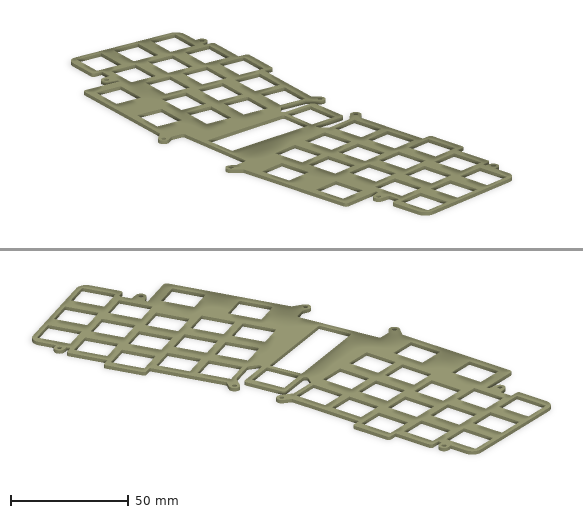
import cadquery as cq


THICKNESS = 1.6

TILT = 7.0
FIELD_X = 61.5
FIELD_Y = 35.5
COLUMN_COUNT = 5
FIELD_WIDTH = 76.2
PITCH = FIELD_WIDTH / (COLUMN_COUNT - 1)
STAGGERS = [-PITCH / 2, -PITCH / 4, 0, -PITCH / 4, -PITCH / 4]
ROWS = [-2 * PITCH, -PITCH, 0]
THUMB_V = -3.25 * PITCH
THUMB_KEYS = [(-PITCH / 8, THUMB_V), (1.5 * PITCH, THUMB_V)]
CUTOUT_U = 15.5
CUTOUT_V = 12.7

SIDE_MARGIN = 9.7
OUTER_MARGIN = 10.0
END_MARGIN = 10.0
THUMB_LEFT = -15.0
THUMB_RIGHT = 49.3
THUMB_TOP = -46.8
THUMB_BOTTOM = THUMB_V - END_MARGIN
OUTER_CORNER = 4.6
SMALL_CORNER = 1.2
THUMB_CORNER = 1.6
COLUMN_CORNERS = {
    0: [("<X", OUTER_CORNER), (">X and <Y", SMALL_CORNER)],
    1: [("<X and >Y", SMALL_CORNER)],
    2: [(">Y", SMALL_CORNER)],
}

WEB_BOTTOM = -33.8
WEB_BOTTOM_HALF = 19.5
WEB_BOTTOM_CORNER = 1.2
WEB_TOP = 31.0
WEB_TOP_HALF = 10.2
WEB_TOP_CORNER = 1.6
GAP_BOTTOM = 14.1
GAP_BOTTOM_X = 12.0
GAP_SIDE_X = 16.0
GAP_SIDE_Y = 18.0
GAP_CORNER = 1.2
WEB_SIDE_X = 27.8
WINDOW_WIDTH = 16.0
UPPER_WINDOW = (14.4, 27.5)
LOWER_WINDOW = (-31.0, 12.3)
LOWER_WINDOW_CORNER = 1.0

LUG_DIAMETER = 4.9
LUG_HOLE = 2.1
LUG_ARM = 5.5
LUGS = [
    ((-94.3, 41.7), [270]),
    ((-11.5, 36.1), [225]),
    ((-21.8, -43.8), [130, 120]),
    ((-88.0, -18.0), [90, 70]),
]


def block(left, right, bottom, top):
    """Rectangular plate given by its four sides."""
    return (
        cq.Workplane("XY")
        .center((left + right) / 2, (bottom + top) / 2)
        .rect(right - left, top - bottom)
        .extrude(THICKNESS)
    )


def round_corner(shape, x, y, radius):
    """Round the upright edge nearest to the point (x, y)."""
    nearest = cq.selectors.NearestToPointSelector((x, y, THICKNESS / 2))
    return shape.edges("|Z").edges(nearest).fillet(radius)


def place_field(shape):
    """Move a shape from the key frame to the left half of the plate."""
    return shape.rotate((0, 0, 0), (0, 0, 1), -TILT).translate((-FIELD_X, FIELD_Y, 0))


def column_u(index):
    return (index - COLUMN_COUNT // 2) * PITCH


def column_plate(index):
    u = column_u(index)
    top = ROWS[-1] + STAGGERS[index] + END_MARGIN
    bottom = ROWS[0] + STAGGERS[index] - END_MARGIN
    left_margin = OUTER_MARGIN if index == 0 else SIDE_MARGIN
    plate = block(u - left_margin, u + SIDE_MARGIN, bottom, top)
    for corner, radius in COLUMN_CORNERS.get(index, []):
        plate = plate.edges("|Z").edges(corner).fillet(radius)
    return plate


def thumb_plate():
    plate = block(THUMB_LEFT, THUMB_RIGHT, THUMB_BOTTOM, THUMB_TOP)
    return plate.edges("|Z and <X and <Y").fillet(THUMB_CORNER)


def key_field():
    field = thumb_plate()
    for index in range(COLUMN_COUNT):
        field = field.union(column_plate(index))
    return place_field(field)


def key_cutouts():
    centres = list(THUMB_KEYS)
    for index, stagger in enumerate(STAGGERS):
        centres += [(column_u(index), row + stagger) for row in ROWS]
    cutouts = cq.Workplane("XY").pushPoints(centres).rect(CUTOUT_U, CUTOUT_V).extrude(THICKNESS)
    return place_field(cutouts)


def left_web():
    """Left half of the web, with the foot of the gap beside the key field."""
    outline = [
        (0, WEB_BOTTOM),
        (-WEB_SIDE_X, WEB_BOTTOM),
        (-WEB_SIDE_X, GAP_SIDE_Y),
        (-GAP_SIDE_X, GAP_SIDE_Y),
        (-GAP_BOTTOM_X, GAP_BOTTOM),
        (-WEB_TOP_HALF, GAP_BOTTOM),
        (-WEB_TOP_HALF, WEB_TOP),
        (0, WEB_TOP),
    ]
    web = cq.Workplane("XY").polyline(outline).close().extrude(THICKNESS)
    web = round_corner(web, -GAP_BOTTOM_X, GAP_BOTTOM, GAP_CORNER)
    web = round_corner(web, -WEB_TOP_HALF, GAP_BOTTOM, GAP_CORNER)
    return round_corner(web, -WEB_TOP_HALF, WEB_TOP, WEB_TOP_CORNER)


def lug_body(centre, directions):
    body = cq.Workplane("XY").center(*centre).circle(LUG_DIAMETER / 2).extrude(THICKNESS)
    for direction in directions:
        arm = block(0, LUG_ARM, -LUG_DIAMETER / 2, LUG_DIAMETER / 2)
        body = body.union(arm.rotate((0, 0, 0), (0, 0, 1), direction).translate((*centre, 0)))
    return body


def left_half():
    half = key_field().union(left_web())
    half = round_corner(half, -WEB_BOTTOM_HALF, WEB_BOTTOM, WEB_BOTTOM_CORNER)
    for centre, directions in LUGS:
        half = half.union(lug_body(centre, directions))
    half = half.cut(key_cutouts())
    centres = [centre for centre, _ in LUGS]
    holes = cq.Workplane("XY").pushPoints(centres).circle(LUG_HOLE / 2).extrude(THICKNESS)
    return half.cut(holes)


def window(bottom, top):
    return block(-WINDOW_WIDTH / 2, WINDOW_WIDTH / 2, bottom, top)


left = left_half()
lower_window = window(*LOWER_WINDOW).edges("|Z and >Y").fillet(LOWER_WINDOW_CORNER)
result = left.union(left.mirror("YZ")).cut(window(*UPPER_WINDOW)).cut(lower_window)